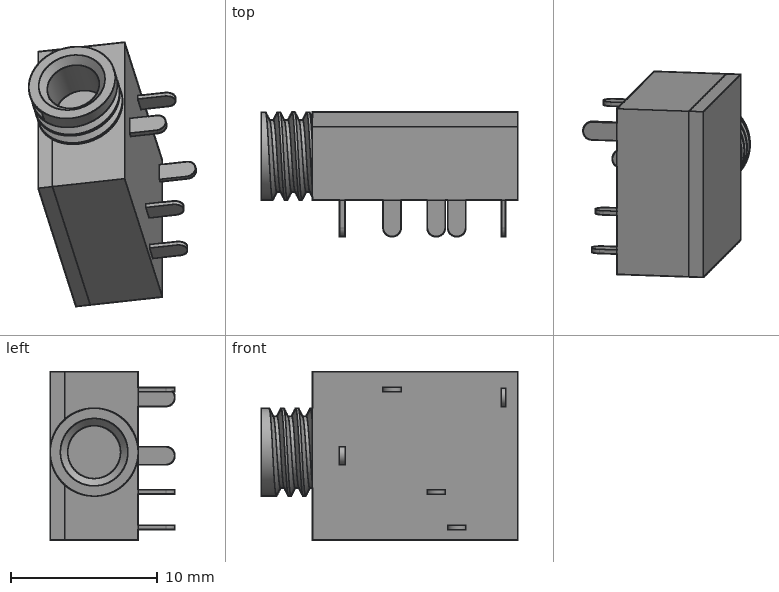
import cadquery as cq

case_length = 14.0
case_depth = 6.0
case_height = 11.5
case_top = 5.5
lid_thickness = 1.0
case_back = case_depth / 2
case_front = -case_depth / 2
lid_joint = case_back - lid_thickness

barrel_length = 3.5
barrel_diameter = case_depth
bore_diameter = 3.6
mouth_diameter = 4.6
mouth_chamfer = (mouth_diameter - bore_diameter) / 2

thread_pitch = 1.0
thread_depth = 0.55
groove_root_width = 0.26
groove_crest_width = 0.82
groove_start = 0.58
groove_start_angle = -45
crest_overcut = 0.07

pin_width = 1.25
pin_length = 2.5
thin_pin = 0.3
thick_pin = 0.4

flat_pins = [
    (5.42, 4.27, thin_pin),
    (8.44, -2.71, thin_pin),
    (9.84, -5.13, thin_pin),
]
upright_pins = [
    (2.03, -0.25, thick_pin),
    (13.02, 3.73, thin_pin),
]


def make_case_slab(y_start, y_end):
    """Block with the full case length and height, between two Y positions."""
    return cq.Workplane("XY").box(
        case_length, y_end - y_start, case_height, centered=False
    ).translate((0, y_start, case_top - case_height))


def make_thread_groove():
    """Right-hand helical cutter that runs out through the rear end of the barrel."""
    crest_radius = barrel_diameter / 2
    root_radius = crest_radius - thread_depth
    outer_radius = crest_radius + crest_overcut
    flank_slope = (groove_crest_width - groove_root_width) / 2 / thread_depth
    root_half = groove_root_width / 2
    outer_half = groove_crest_width / 2 + flank_slope * crest_overcut
    helix_height = barrel_length - groove_start + thread_pitch

    helix = cq.Wire.makeHelix(thread_pitch, helix_height, root_radius)
    groove = (
        cq.Workplane("XZ")
        .polyline([
            (root_radius, -root_half),
            (outer_radius, -outer_half),
            (outer_radius, outer_half),
            (root_radius, root_half),
        ])
        .close()
        .sweep(cq.Workplane(obj=helix), isFrenet=True)
    )
    return (
        groove.rotate((0, 0, 0), (1, 1, 1), 120)
        .rotate((0, 0, 0), (1, 0, 0), groove_start_angle)
        .translate((groove_start - barrel_length, 0, 0))
    )


def make_barrel():
    """Threaded tube with a chamfered mouth, standing on the case front face."""
    tube = (
        cq.Workplane("YZ", origin=(-barrel_length, 0, 0))
        .circle(barrel_diameter / 2)
        .circle(bore_diameter / 2)
        .extrude(barrel_length)
        .faces("<X")
        .edges(cq.selectors.RadiusNthSelector(0))
        .chamfer(mouth_chamfer)
        .rotate((0, 0, 0), (1, 0, 0), 180)
    )
    return tube.cut(make_thread_groove())


def make_pin(x, z, thickness, turn):
    """Round-ended blade projecting in -Y from the case, turned about its own length."""
    half_width = pin_width / 2
    straight_end = half_width - pin_length
    return (
        cq.Workplane("XY")
        .moveTo(-half_width, 0)
        .lineTo(-half_width, straight_end)
        .threePointArc((0, -pin_length), (half_width, straight_end))
        .lineTo(half_width, 0)
        .close()
        .extrude(thickness / 2, both=True)
        .rotate((0, 0, 0), (0, 1, 0), turn)
        .translate((x, case_front, z))
    )


housing = make_case_slab(case_front, lid_joint)
lid = make_case_slab(lid_joint, case_back)
barrel = make_barrel()

pins = []
for x, z, thickness in flat_pins:
    pins.append(make_pin(x, z, thickness, turn=0))
for x, z, thickness in upright_pins:
    pins.append(make_pin(x, z, thickness, turn=90))

result = cq.Compound.makeCompound([
    housing.val(),
    lid.val(),
    *barrel.vals(),
    *[pin.val() for pin in pins],
])